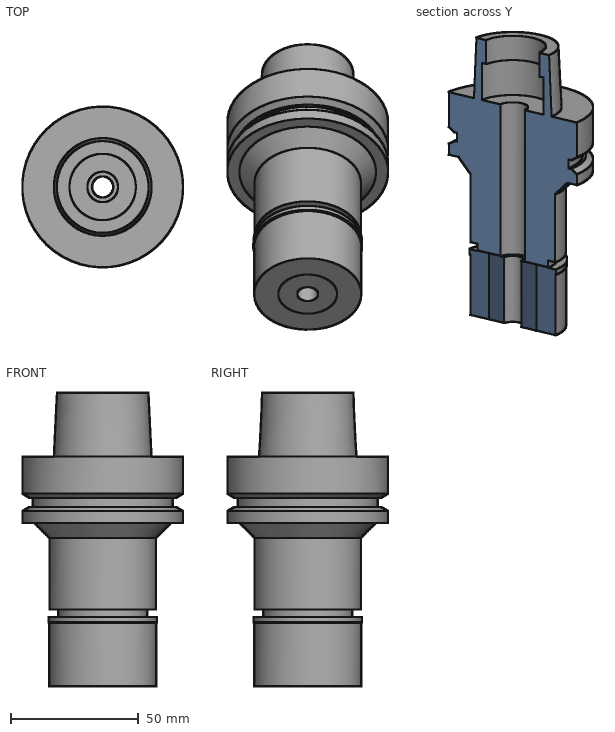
import cadquery as cq

total_height = 115.0
shank_height = 25.1
flange_height = 26.0
flange_top_z = total_height - shank_height
flange_bottom_z = flange_top_z - flange_height

shank_top_diameter = 35.9
shank_base_diameter = 38.3
shank_bore_diameter = 26.0
shank_bore_depth = 10.0
shank_recess_diameter = 30.0

flange_diameter = 63.0
flange_rim_height = 4.6
groove_diameter = 55.0
groove_floor_width = 3.5
groove_chamfer_height = 1.7
groove_chamfer_run = 2.8

neck_diameter = 41.7
neck_cone_height = 5.9
undercut_diameter = 35.0
undercut_height = 2.8
coolant_diameter = 12.0

nut_diameter = 42.0
nut_height = 27.3
nut_rim_diameter = 42.7
nut_rim_height = 2.1
nut_rim_chamfer = (nut_rim_diameter - nut_diameter) / 2

collet_diameter = 23.0
collet_bore_diameter = 8.2


def revolve_profile(points):
    """Turn a closed (radius, Z) outline about the Z axis."""
    return cq.Workplane("XZ").polyline(points).close().revolve(360, (0, 0, 0), (0, 1, 0))


def make_holder():
    """Shank, grooved flange and neck, with a stepped bore along the axis."""
    flange_radius = flange_diameter / 2
    groove_radius = groove_diameter / 2
    groove_edge_radius = flange_radius - groove_chamfer_run
    neck_radius = neck_diameter / 2
    undercut_radius = undercut_diameter / 2
    shank_bore_radius = shank_bore_diameter / 2
    shank_recess_radius = shank_recess_diameter / 2
    coolant_radius = coolant_diameter / 2

    rim_top_z = flange_bottom_z + flange_rim_height
    groove_bottom_z = rim_top_z + groove_chamfer_height
    groove_top_z = groove_bottom_z + groove_floor_width
    undercut_top_z = nut_height + undercut_height
    shank_bore_bottom_z = total_height - shank_bore_depth

    return revolve_profile([
        (coolant_radius, nut_height),
        (undercut_radius, nut_height),
        (undercut_radius, undercut_top_z),
        (neck_radius, undercut_top_z),
        (neck_radius, flange_bottom_z - neck_cone_height),
        (neck_radius + neck_cone_height, flange_bottom_z),
        (flange_radius, flange_bottom_z),
        (flange_radius, rim_top_z),
        (groove_edge_radius, groove_bottom_z),
        (groove_radius, groove_bottom_z),
        (groove_radius, groove_top_z),
        (groove_edge_radius, groove_top_z),
        (flange_radius, groove_top_z + groove_chamfer_height),
        (flange_radius, flange_top_z),
        (shank_base_diameter / 2, flange_top_z),
        (shank_top_diameter / 2, total_height),
        (shank_bore_radius, total_height),
        (shank_bore_radius, shank_bore_bottom_z),
        (shank_recess_radius, shank_bore_bottom_z),
        (shank_recess_radius, flange_top_z),
        (coolant_radius, flange_top_z),
    ])


def make_nut():
    """Sleeve around the collet with a raised rim at its upper end."""
    nut_radius = nut_diameter / 2
    rim_radius = nut_rim_diameter / 2
    bore_radius = collet_diameter / 2
    rim_bottom_z = nut_height - nut_rim_height

    return revolve_profile([
        (bore_radius, 0),
        (nut_radius, 0),
        (nut_radius, rim_bottom_z - nut_rim_chamfer),
        (rim_radius, rim_bottom_z),
        (rim_radius, nut_height),
        (bore_radius, nut_height),
    ])


def make_collet():
    """Plain bush filling the nut, with the tool bore through it."""
    return (
        cq.Workplane("XY")
        .circle(collet_diameter / 2)
        .circle(collet_bore_diameter / 2)
        .extrude(nut_height)
    )


holder = make_holder()
nut = make_nut()
collet = make_collet()

result = cq.Compound.makeCompound([holder.val(), nut.val(), collet.val()])